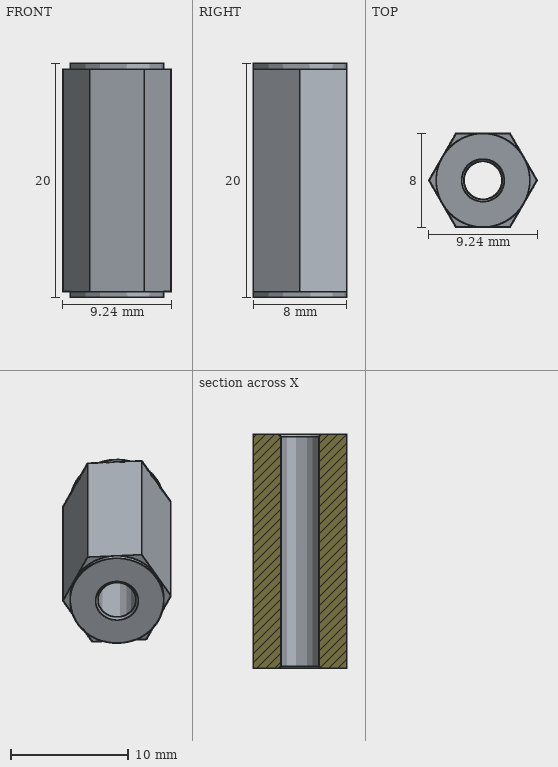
import cadquery as cq
import math

total_length = 20.0
hex_sides = 6
across_flats = 8.0
collar_height = 0.5
bore_diameter = 3.25
bore_chamfer = 0.2

across_corners = across_flats / math.cos(math.pi / hex_sides)
hex_length = total_length - 2 * collar_height

core = cq.Workplane("XY").circle(across_flats / 2).extrude(total_length)

hex_body = (
    cq.Workplane("XY")
    .workplane(offset=collar_height)
    .polygon(hex_sides, across_corners)
    .extrude(hex_length)
)

spacer = hex_body.union(core)
spacer = spacer.faces(">Z").workplane().hole(bore_diameter)
mouth_edges = cq.selectors.RadiusNthSelector(0)
result = spacer.faces("<Z or >Z").edges(mouth_edges).chamfer(bore_chamfer)